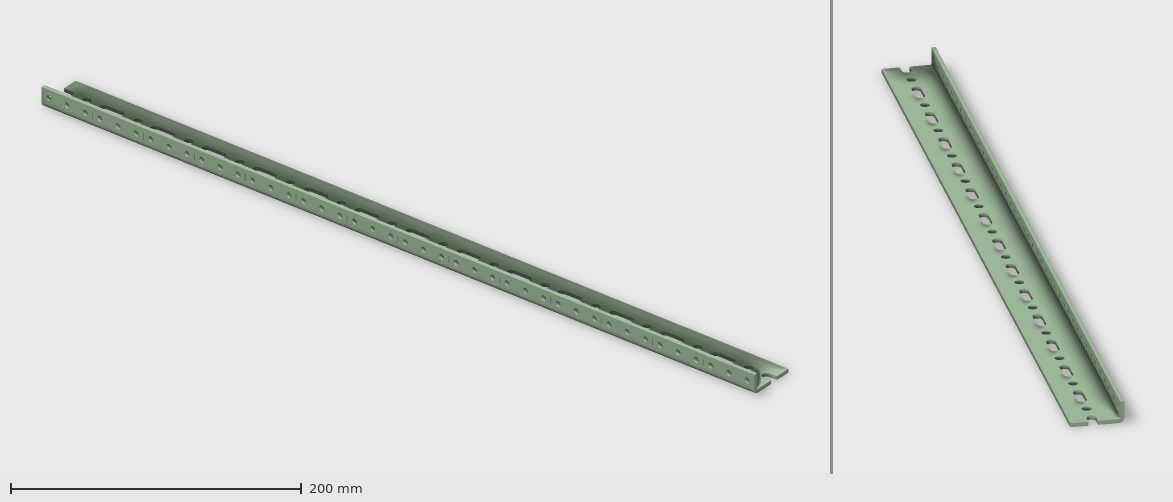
import cadquery as cq

length = 622.0
depth = 38.0
height = 16.0
thickness = 3.0
inner_bend_radius = 0.5
outer_bend_radius = inner_bend_radius + thickness

unit_count = 14
unit_pitch = length / unit_count

flange_hole_diameter = 4.5
flange_hole_z = 9.5
outer_hole_offset = unit_pitch * (5 / 8) / (7 / 4)

mark_width = 1.0
mark_height = 6.0
mark_depth = 0.5

base_row_y = 22.0
base_hole_diameter = 7.0
slot_width = base_hole_diameter
slot_length = 20.0

boundaries = [i * unit_pitch for i in range(unit_count + 1)]
unit_centres = [(i + 0.5) * unit_pitch for i in range(unit_count)]


def angle_strip():
    """L-shaped strip with its base flat on Z = 0 and its flange along Y = 0."""
    profile = (
        cq.Workplane("YZ")
        .moveTo(0, 0)
        .lineTo(depth, 0)
        .lineTo(depth, thickness)
        .lineTo(thickness, thickness)
        .lineTo(thickness, height)
        .lineTo(0, height)
        .close()
    )
    strip = profile.extrude(length)
    outer_corner = cq.selectors.NearestToPointSelector((length / 2, 0, 0))
    inner_corner = cq.selectors.NearestToPointSelector((length / 2, thickness, thickness))
    strip = strip.edges("|X").edges(outer_corner).fillet(outer_bend_radius)
    return strip.edges("|X").edges(inner_corner).fillet(inner_bend_radius)


def base_cutters():
    """Slots, including a half slot at each end, alternating with round holes."""
    slots = (
        cq.Workplane("XY")
        .pushPoints([(x, base_row_y) for x in boundaries])
        .slot2D(slot_length, slot_width)
        .extrude(thickness)
    )
    holes = (
        cq.Workplane("XY")
        .pushPoints([(x, base_row_y) for x in unit_centres])
        .circle(base_hole_diameter / 2)
        .extrude(thickness)
    )
    return slots.add(holes).combine()


def flange_holes():
    """Three round holes per unit through the upright flange."""
    offsets = (-outer_hole_offset, 0, outer_hole_offset)
    points = [(x + offset, flange_hole_z) for x in unit_centres for offset in offsets]
    return (
        cq.Workplane("XZ")
        .pushPoints(points)
        .circle(flange_hole_diameter / 2)
        .extrude(-thickness)
    )


def boundary_marks():
    """Shallow grooves between neighbouring units on the outer flange face."""
    points = [(x, flange_hole_z) for x in boundaries[1:-1]]
    return (
        cq.Workplane("XZ")
        .pushPoints(points)
        .rect(mark_width, mark_height)
        .extrude(-mark_depth)
    )


result = angle_strip().cut(base_cutters()).cut(flange_holes()).cut(boundary_marks())